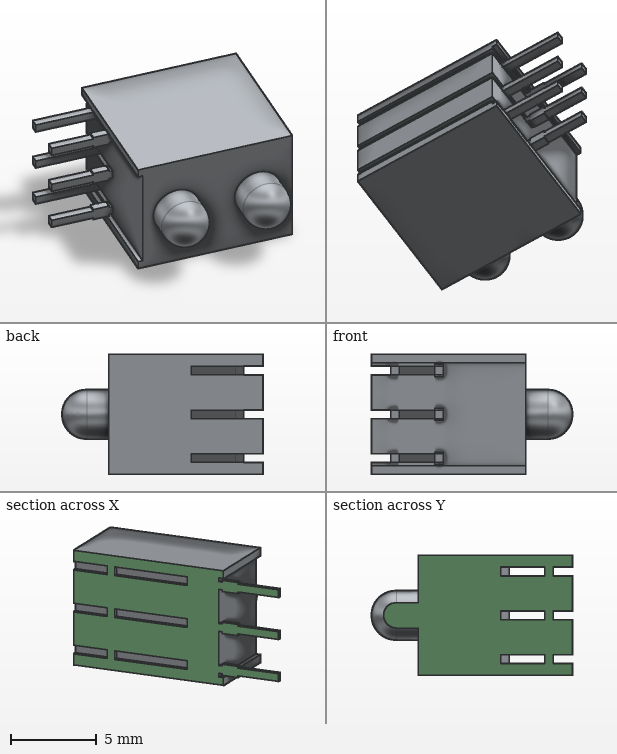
import cadquery as cq


body_length = 9.0
body_height = 7.0
plate_depth = 9.64
plate_thickness = 0.5
front_recess = 0.29

led_diameter = 2.9
led_radius = led_diameter / 2
led_protrusion = 2.72
led_barrel = led_protrusion - led_radius
led_pitch = 5.08
first_led_y = -2.16
led_ys = [first_led_y, first_led_y - led_pitch]

lead_size = 0.5
lead_pitch = 2.55
lead_tip_y = -13.15
first_lead_x = 1.13
lead_xs = [first_lead_x, first_lead_x + lead_pitch]
lead_zs = [-lead_pitch, 0, lead_pitch]
slot_depth = lead_xs[1] + lead_size

collar_width = 0.71
collar_length = 1.0
collar_gap = 0.2
collar_start_y = front_recess - plate_depth - collar_gap


def box(x_start, x_end, y_start, y_end, z_middle, height):
    """Block between two X and two Y positions, centred on z_middle."""
    return (
        cq.Workplane("XY", origin=(0, 0, z_middle - height / 2))
        .moveTo(x_start, y_start)
        .lineTo(x_end, y_start)
        .lineTo(x_end, y_end)
        .lineTo(x_start, y_end)
        .close()
        .extrude(height)
    )


def make_housing():
    """Block with overhanging top and bottom plates and a through slot per lead row."""
    housing = box(0, body_length, -plate_depth, 0, 0, body_height)
    core_height = body_height - 2 * plate_thickness
    recess_y = front_recess - plate_depth
    housing = housing.cut(box(0, body_length, -plate_depth, recess_y, 0, core_height))
    for z in lead_zs:
        housing = housing.cut(box(0, slot_depth, -plate_depth, 0, z, lead_size))
    return housing


def make_led(y):
    """Barrel with a hemispherical dome, standing on the +X face."""
    dome_x = body_length + led_barrel
    return (
        cq.Workplane("XY", origin=(0, y, 0))
        .moveTo(body_length, 0)
        .lineTo(body_length, led_radius)
        .lineTo(dome_x, led_radius)
        .radiusArc((dome_x + led_radius, 0), led_radius)
        .close()
        .revolve(360, (0, 0, 0), (1, 0, 0))
    )


def make_lead(x, bend_y, z):
    """Lead rising from its tip, with a rounded turn at bend_y into the slot floor."""
    arm_end_x = slot_depth + lead_size
    inner_x = x + lead_size
    inner_y = bend_y - lead_size
    return (
        cq.Workplane("XY", origin=(0, 0, z - lead_size / 2))
        .moveTo(x, lead_tip_y)
        .lineTo(x, inner_y)
        .radiusArc((inner_x, bend_y), lead_size)
        .lineTo(arm_end_x, bend_y)
        .lineTo(arm_end_x, inner_y)
        .lineTo(inner_x, inner_y)
        .lineTo(inner_x, lead_tip_y)
        .close()
        .extrude(lead_size)
    )


def make_collar(z):
    """Wider stretch of an inner lead."""
    return box(lead_xs[1], slot_depth, collar_start_y - collar_length, collar_start_y, z, collar_width)


result = make_housing()
for led_y in led_ys:
    result = result.union(make_led(led_y))
for lead_x, led_y in zip(lead_xs, led_ys):
    for lead_z in lead_zs:
        result = result.union(make_lead(lead_x, led_y, lead_z))
for lead_z in lead_zs:
    result = result.union(make_collar(lead_z))